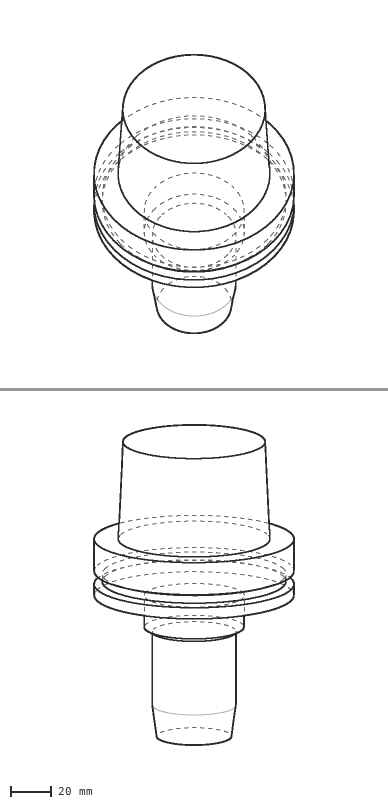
import cadquery as cq

total_height = 151.6
taper_height = 50.0
flange_height = 29.0
nose_height = 16.2
flange_top = total_height - taper_height
flange_bottom = flange_top - flange_height
collar_height = 18.6
collar_bottom = flange_bottom - collar_height
collar_chamfer_height = 2.3

lower_rim_height = 5.8
groove_width = 6.7
groove_side_rise = 1.4
groove_bottom = flange_bottom + lower_rim_height
groove_top = groove_bottom + groove_width

flange_diameter = 100.0
groove_diameter = 92.0
collar_diameter = 50.0
shank_diameter = 42.0
nose_tip_diameter = 37.6
taper_base_diameter = 76.0
taper_top_diameter = 71.3

section = [
    (nose_tip_diameter, 0),
    (shank_diameter, nose_height),
    (shank_diameter, collar_bottom),
    (collar_diameter, collar_bottom + collar_chamfer_height),
    (collar_diameter, flange_bottom),
    (flange_diameter, flange_bottom),
    (flange_diameter, groove_bottom),
    (groove_diameter, groove_bottom + groove_side_rise),
    (groove_diameter, groove_top - groove_side_rise),
    (flange_diameter, groove_top),
    (flange_diameter, flange_top),
    (taper_base_diameter, flange_top),
    (taper_top_diameter, total_height),
]
outline = [(0, 0)]
outline += [(diameter / 2, height) for diameter, height in section]
outline += [(0, total_height)]

result = cq.Workplane("XZ").polyline(outline).close().revolve(360, (0, 0, 0), (0, 1, 0))